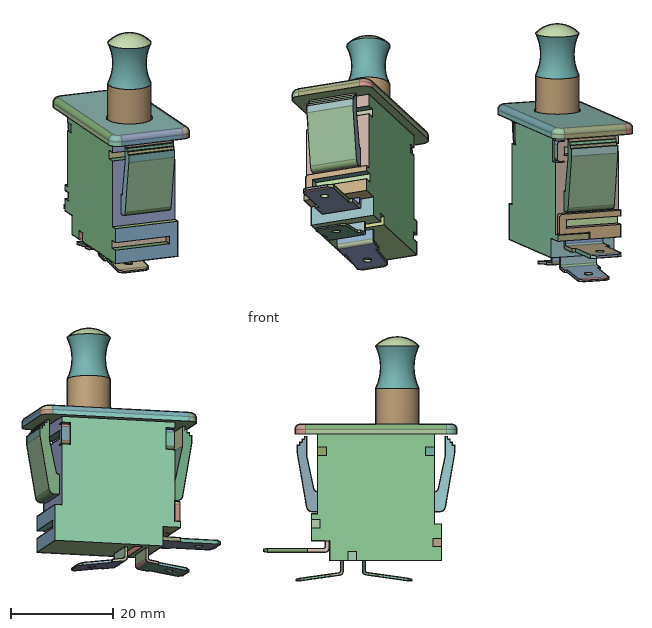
import cadquery as cq
import math

OVERALL_HEIGHT = 47.7

HOUSING_LENGTH = 22.9
HOUSING_WIDTH = 13.25
HOUSING_HEIGHT = 24.7
HALF_LENGTH = HOUSING_LENGTH / 2
HALF_WIDTH = HOUSING_WIDTH / 2

LEFT_FOOT_X = -12.65
LEFT_FOOT_BOTTOM = 3.85
LEFT_FOOT_TOP = 9.15
RECESS_X = -9.05
RIGHT_FOOT_X = 12.85
RIGHT_FOOT_TOP = 7.15

SLOT_SIZE = 1.65
SLOT_DEPTH = 1.75
SLOT_END_Y = 4.8
UPPER_SLOT_Z = 20.55
LEFT_SLOT_Z = 6.35
RIGHT_SLOT_Z = 2.75
RIGHT_SLOT_HEIGHT = 1.53
BOTTOM_SLOT_X = -5.45

TAB_Y = 6.3
TAB_RADIUS = 0.6
SEAM = 0.15
UPPER_RECESS_BOTTOM = 19.25
UPPER_RECESS_TOP = 23.55
COVER_STRIP_TOP = 5.05

FLANGE_LENGTH = 31.6
FLANGE_WIDTH = 17.0
FLANGE_THICKNESS = 1.95
FLANGE_CORNER_RADIUS = 2.0
FLANGE_EDGE_RADIUS = 1.05

PLUNGER_X = 4.15
PLUNGER_DIAMETER = 8.5
PLUNGER_HOLE_DIAMETER = 9.0
WAIST_DIAMETER = 6.6
SHOULDER_Z = 33.6
RIM_Z = 41.9

CLIP_WIDTH = 9.75
CLIP_TIP_X = 13.5
CLIP_TOP = 24.27
CLIP_STEP_RUN = 0.5
CLIP_STEP_DROP = 0.55
CLIP_STEPS = 3
CLIP_KNEE_Z = 21.1
CLIP_INNER_KNEE_Z = 20.4
CLIP_OUTER_CORNER = (13.4, 9.55)
CLIP_INNER_CORNER = (12.0, 13.5)
CLIP_OUTER_RADIUS = 1.15
CLIP_INNER_RADIUS = 0.55

OVERALL_LENGTH = 37.75
TAB_NECK_WIDTH = 6.4
TIP_CHAMFER_LENGTH = 0.75
TIP_CHAMFER_WIDTH = 0.9
TERMINAL_HOLE_DIAMETER = 1.6
ROOT_DEPTH = 0.95
TIP_BEVEL_SHARE = 0.2
BEND_RADIUS_RATIO = 2

SIDE_TERMINAL_WIDTH = 7.9
SIDE_TERMINAL_THICKNESS = 0.75
SIDE_TERMINAL_GAP = 0.1
SIDE_TERMINAL_BOTTOM = 1.6
SIDE_TIP_X = FLANGE_LENGTH / 2 - OVERALL_LENGTH
SIDE_BLADE_LENGTH = 8.65
SIDE_TIP_TO_HOLE = 3.85
SIDE_BEND_RADIUS = 0.75

LOWER_TERMINAL_WIDTH = 7.65
LOWER_TERMINAL_THICKNESS = 0.52
LOWER_TERMINAL_DROP = 3.95
LOWER_BLADE_LENGTH = 6.65
LOWER_BLADE_ANGLE = 8
LOWER_TIP_TO_HOLE = 3.5
LOWER_BEND_RADIUS = 0.75
LEFT_LEG_X = -6.4
LEFT_TIP_X = -15.6
RIGHT_LEG_X = -2.6
RIGHT_TIP_X = 7.0


def box(x0, x1, y0, y1, z0, z1):
    """Block between two opposite corners."""
    return cq.Workplane("XY").box(x1 - x0, y1 - y0, z1 - z0, centered=False).translate((x0, y0, z0))


def slab(points, width):
    """XZ outline extruded symmetrically about the middle plane."""
    return cq.Workplane("XZ").polyline(points).close().extrude(width / 2, both=True)


def mirrored(solid):
    """Copy of a solid on the other side of X = 0."""
    return solid.mirror("YZ")


def fillet_at(solid, x, z, radius):
    """Round the edge along Y that runs through (x, z)."""
    return solid.edges(cq.selectors.NearestToPointSelector((x, 0, z))).fillet(radius)


def left_foot():
    tab = box(LEFT_FOOT_X, RECESS_X, -HALF_WIDTH, TAB_Y, LEFT_FOOT_BOTTOM, LEFT_FOOT_TOP)
    tab = tab.edges("|X and >Y and >Z").fillet(TAB_RADIUS)
    seam_top = COVER_STRIP_TOP + SEAM
    tab = tab.cut(box(LEFT_FOOT_X, -HALF_LENGTH, -SEAM / 2, TAB_Y, LEFT_FOOT_BOTTOM, seam_top))
    tab = tab.edges("|X and >Y").edges("<Z").edges("<X").fillet(TAB_RADIUS)
    strip = box(LEFT_FOOT_X, RECESS_X, SEAM / 2, HALF_WIDTH, LEFT_FOOT_BOTTOM, COVER_STRIP_TOP)
    return tab.union(strip)


def upper_tab_recess():
    """Recess in the +Y half of the left end face that leaves a rounded tab standing in it."""
    x0 = -HALF_LENGTH
    x1 = x0 + SLOT_DEPTH
    recess = box(x0, x1, SLOT_END_Y, HALF_WIDTH, UPPER_RECESS_BOTTOM, UPPER_RECESS_TOP)
    tab = box(x0, x1, SLOT_END_Y, TAB_Y, UPPER_RECESS_BOTTOM + SEAM, UPPER_RECESS_TOP - SEAM)
    return recess.cut(tab.edges("|X and >Y").fillet(TAB_RADIUS))


def slot(x, z, length, height):
    return box(x, x + length, -HALF_WIDTH, SLOT_END_Y, z, z + height)


def housing():
    body = box(-HALF_LENGTH, HALF_LENGTH, -HALF_WIDTH, HALF_WIDTH, LEFT_FOOT_BOTTOM, HOUSING_HEIGHT)
    body = body.union(box(RECESS_X, HALF_LENGTH, -HALF_WIDTH, HALF_WIDTH, 0, LEFT_FOOT_BOTTOM))
    body = body.union(box(0, RIGHT_FOOT_X, -HALF_WIDTH, HALF_WIDTH, 0, RIGHT_FOOT_TOP))
    body = body.union(left_foot())

    upper_slot = slot(-HALF_LENGTH, UPPER_SLOT_Z, SLOT_DEPTH, SLOT_SIZE)
    recess = upper_tab_recess()
    for cutter in (upper_slot, mirrored(upper_slot), recess, mirrored(recess)):
        body = body.cut(cutter)
    body = body.cut(slot(LEFT_FOOT_X, LEFT_SLOT_Z, SLOT_SIZE, SLOT_SIZE))
    body = body.cut(slot(RIGHT_FOOT_X - SLOT_SIZE, RIGHT_SLOT_Z, SLOT_SIZE, RIGHT_SLOT_HEIGHT))
    return body.cut(slot(BOTTOM_SLOT_X, 0, SLOT_SIZE, SLOT_DEPTH))


def flange():
    plate = cq.Workplane("XY").workplane(offset=HOUSING_HEIGHT)
    plate = plate.rect(FLANGE_LENGTH, FLANGE_WIDTH).extrude(FLANGE_THICKNESS)
    plate = plate.edges("|Z").fillet(FLANGE_CORNER_RADIUS)
    plate = plate.faces(">Z").edges().fillet(FLANGE_EDGE_RADIUS)
    hole = cq.Workplane("XY").workplane(offset=HOUSING_HEIGHT).center(PLUNGER_X, 0)
    return plate.cut(hole.circle(PLUNGER_HOLE_DIAMETER / 2).extrude(FLANGE_THICKNESS))


def plunger():
    """Turned button: plain shank, arced waist and domed head."""
    radius = PLUNGER_DIAMETER / 2
    apex = OVERALL_HEIGHT - LOWER_TERMINAL_DROP
    dome_height = apex - RIM_Z
    dome_radius = (radius ** 2 + dome_height ** 2) / (2 * dome_height)
    dome_mid_x = radius / 2
    dome_mid_z = apex - dome_radius + math.sqrt(dome_radius ** 2 - dome_mid_x ** 2)
    profile = (
        cq.Workplane("XZ")
        .moveTo(0, HOUSING_HEIGHT)
        .lineTo(radius, HOUSING_HEIGHT)
        .lineTo(radius, SHOULDER_Z)
        .threePointArc((WAIST_DIAMETER / 2, (SHOULDER_Z + RIM_Z) / 2), (radius, RIM_Z))
        .threePointArc((dome_mid_x, dome_mid_z), (0, apex))
        .close()
    )
    return profile.revolve(360, (0, 0, 0), (0, 1, 0)).translate((PLUNGER_X, 0, 0))


def clip():
    """Springy latch arm on the right end, with a stepped tip."""
    outline = [(CLIP_TIP_X, CLIP_TOP)]
    for step in range(CLIP_STEPS + 1):
        x = CLIP_TIP_X + CLIP_STEP_RUN * (step + 1)
        outline.append((x, CLIP_TOP - CLIP_STEP_DROP * step))
        if step < CLIP_STEPS:
            outline.append((x, CLIP_TOP - CLIP_STEP_DROP * (step + 1)))
    outline += [
        (CLIP_TIP_X + CLIP_STEP_RUN * (CLIP_STEPS + 1), CLIP_KNEE_Z),
        CLIP_OUTER_CORNER,
        (HALF_LENGTH, CLIP_OUTER_CORNER[1]),
        (HALF_LENGTH, CLIP_INNER_CORNER[1]),
        CLIP_INNER_CORNER,
        (CLIP_TIP_X, CLIP_INNER_KNEE_Z),
    ]
    arm = slab(outline, CLIP_WIDTH)
    arm = fillet_at(arm, *CLIP_OUTER_CORNER, CLIP_OUTER_RADIUS)
    return fillet_at(arm, *CLIP_INNER_CORNER, CLIP_INNER_RADIUS)


def terminal(
    leg_x, root_z, tip_x, low_z, thickness, width, blade_length, angle, tip_to_hole, outer_radius
):
    """Bent sheet terminal: leg down from root_z, blade running to -X and dropping to low_z.

    leg_x is the face of the leg turned away from the blade.
    """
    slope = math.tan(math.radians(angle))
    rise = thickness / math.cos(math.radians(angle))
    bevel = TIP_BEVEL_SHARE * thickness
    bevel_x = tip_x + TIP_CHAMFER_LENGTH
    inner_x = leg_x - thickness

    def underside(x):
        return low_z + slope * (x - bevel_x)

    profile = [
        (leg_x, root_z),
        (inner_x, root_z),
        (inner_x, underside(inner_x) + rise),
        (bevel_x, underside(bevel_x) + rise),
        (tip_x, underside(tip_x) + rise - bevel),
        (tip_x, underside(tip_x) + bevel),
        (bevel_x, low_z),
        (leg_x, underside(leg_x)),
    ]
    sheet = slab(profile, width)
    sheet = fillet_at(sheet, leg_x, underside(leg_x), outer_radius)
    sheet = fillet_at(sheet, inner_x, underside(inner_x) + rise, outer_radius / BEND_RADIUS_RATIO)

    half_neck = TAB_NECK_WIDTH / 2
    half_tip = half_neck - TIP_CHAMFER_WIDTH
    step_x = tip_x + blade_length
    upper_half = [
        (leg_x, width / 2),
        (step_x, width / 2),
        (step_x, half_neck),
        (bevel_x, half_neck),
        (tip_x, half_tip),
    ]
    lower_half = [(x, -y) for x, y in reversed(upper_half)]
    height = root_z - low_z
    plan = cq.Workplane("XY").workplane(offset=low_z)
    blank = plan.polyline(upper_half + lower_half).close().extrude(height)
    hole = plan.center(tip_x + tip_to_hole, 0).circle(TERMINAL_HOLE_DIAMETER / 2).extrude(height)
    return sheet.intersect(blank).cut(hole)


def side_terminal():
    return terminal(
        RECESS_X - SIDE_TERMINAL_GAP, LEFT_FOOT_BOTTOM + ROOT_DEPTH, SIDE_TIP_X, SIDE_TERMINAL_BOTTOM,
        SIDE_TERMINAL_THICKNESS, SIDE_TERMINAL_WIDTH, SIDE_BLADE_LENGTH, 0,
        SIDE_TIP_TO_HOLE, SIDE_BEND_RADIUS,
    )


def lower_terminal(leg_x, tip_x):
    return terminal(
        leg_x, ROOT_DEPTH, tip_x, -LOWER_TERMINAL_DROP,
        LOWER_TERMINAL_THICKNESS, LOWER_TERMINAL_WIDTH, LOWER_BLADE_LENGTH, LOWER_BLADE_ANGLE,
        LOWER_TIP_TO_HOLE, LOWER_BEND_RADIUS,
    )


right_clip = clip()
parts = [
    flange(),
    plunger(),
    right_clip,
    mirrored(right_clip),
    side_terminal(),
    lower_terminal(LEFT_LEG_X, LEFT_TIP_X),
    mirrored(lower_terminal(-RIGHT_LEG_X, -RIGHT_TIP_X)),
]

result = housing()
for part in parts:
    result = result.union(part)